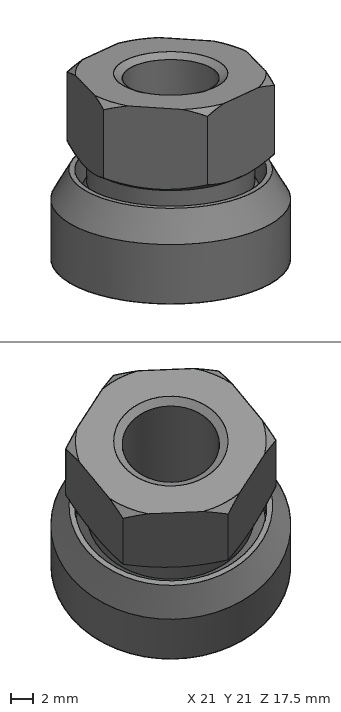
import cadquery as cq
import math

ring_radius = 10.5
ring_shoulder_z = 5.63
ring_top_z = 8.4
ring_top_radius = 8.9
recess_radius = 8.4
recess_floor_z = 5.73

total_height = 17.5
hex_across_flats = 15.95
hex_across_corners = hex_across_flats / math.cos(math.radians(30))
hex_bottom_z = 9.45
hex_top_radius = 8.34
neck_radius = 7.37
neck_bottom_z = 7.33
bore_radius = 4.25
bore_mouth_radius = 5.0

chamfer_slope = math.tan(math.radians(30))
foot_slope = math.tan(math.radians(30))
foot_radius = neck_radius + (neck_bottom_z - recess_floor_z) * foot_slope


def revolve_profile(points):
    """Revolve a closed (radius, height) profile around Z."""
    return cq.Workplane("XZ").polyline(points).close().revolve(360, (0, 0, 0), (0, 1, 0))


def make_ring():
    """Ring with a tapered top and a recess that holds the foot of the nut."""
    return revolve_profile([
        (bore_radius, 0),
        (ring_radius, 0),
        (ring_radius, ring_shoulder_z),
        (ring_top_radius, ring_top_z),
        (recess_radius, ring_top_z),
        (recess_radius, recess_floor_z),
        (bore_radius, recess_floor_z),
    ])


def make_hex_head():
    """Hexagon with corners on the X axis, chamfered above and below by cones."""
    hexagon = (
        cq.Workplane("XY")
        .workplane(offset=hex_bottom_z)
        .polygon(6, hex_across_corners)
        .extrude(total_height - hex_bottom_z)
    )
    outer_radius = ring_radius
    chamfer_envelope = revolve_profile([
        (0, hex_bottom_z),
        (neck_radius, hex_bottom_z),
        (outer_radius, hex_bottom_z + (outer_radius - neck_radius) * chamfer_slope),
        (outer_radius, total_height - (outer_radius - hex_top_radius) * chamfer_slope),
        (hex_top_radius, total_height),
        (0, total_height),
    ])
    return hexagon.intersect(chamfer_envelope)


def make_nut():
    """Hexagon nut with a round neck, a conical foot and a chamfered bore."""
    neck_and_foot = revolve_profile([
        (0, recess_floor_z),
        (foot_radius, recess_floor_z),
        (neck_radius, neck_bottom_z),
        (neck_radius, hex_bottom_z),
        (0, hex_bottom_z),
    ])
    bore_chamfer_depth = (bore_mouth_radius - bore_radius) * chamfer_slope
    bore = revolve_profile([
        (0, recess_floor_z),
        (bore_radius, recess_floor_z),
        (bore_radius, total_height - bore_chamfer_depth),
        (bore_mouth_radius, total_height),
        (0, total_height),
    ])
    return make_hex_head().union(neck_and_foot).cut(bore)


ring = make_ring()
nut = make_nut()

result = cq.Compound.makeCompound([ring.val(), nut.val()])